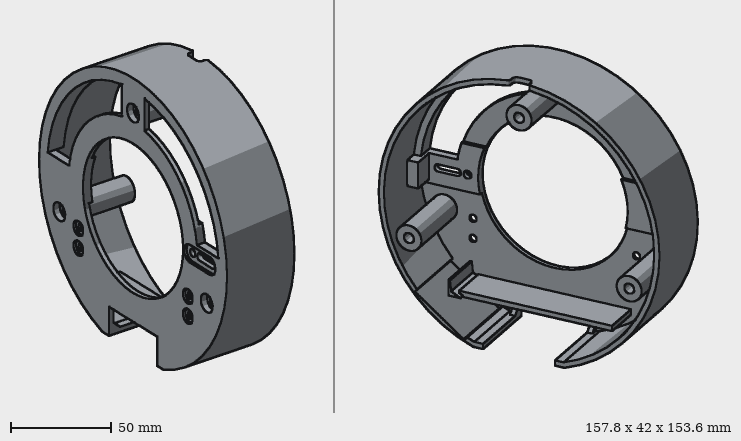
import cadquery as cq

outer_radius = 78.9
depth = 42.0
bottom_z = -74.7
wall = 3.0
plate = 3.0
thick_plate = 5.0
thick_band_top_z = 17.0
thick_band_bottom_z = -9.5
bore_diameter = 84.0

inner_radius = outer_radius - wall
inner_floor_z = bottom_z + wall

window_outer_radius = 72.0
window_inner_radius = 54.1
window_bottom_z = 7.3
window_spoke_width = 19.0
ledge_depth = 10.0

boss_diameter = 14.0
boss_hole = 5.5
boss_counterbore = 10.0
boss_counterbore_depth = 4.0
side_boss_x = 61.9
side_boss_z = -22.1
top_boss_z = 59.2
boss_points = [(0, top_boss_z), (side_boss_x, side_boss_z), (-side_boss_x, side_boss_z)]

screw_hole = 4.0
screw_counterbore = 8.0
screw_counterbore_depth = 1.5
screw_x = 46.0
screw_rows_z = (-24.8, -36.0)
screw_points = [(x, z) for x in (-screw_x, screw_x) for z in screw_rows_z]

recess_start_x = 43.0
recess_end_x = 69.1
recess_width = 10.0
recess_depth = 1.5
pin_hole = 4.3
pin_hole_x = 48.0
slot_start_x = 51.8
slot_end_x = 66.5
slot_width = 4.0

block_inner_x = 69.5
block_depth = 17.0

opening_width = 40.4
opening_top_z = -58.2
shelf_half_width = 43.0
shelf_depth = 23.8

gusset_leg = 4.0
gusset_thickness = 3.0

bracket_depth = 26.8
bracket_foot = (40.7, -57.6)
bracket_knee = (46.0, -55.0)
bracket_tip = (46.5, -49.0)
bracket_tip_width = 1.0

seat_angle = 53.3
seat_distance = 76.0
seat_upper_width = 16.3
seat_lower_width = 18.3

notch_width = 10.7
notch_depth = 5.0
notch_bottom_fillet = 2.4
notch_mouth_fillet = 1.3


def box(x0, x1, y0, y1, z0, z1):
    """Block between two opposite corners."""
    return cq.Workplane("XY").box(x1 - x0, y1 - y0, z1 - z0, centered=False).translate((x0, y0, z0))


def rod(diameter, y0, y1, x=0, z=0):
    """Cylinder along Y."""
    base = cq.Workplane("XZ", origin=(x, y0, z))
    return base.circle(diameter / 2).extrude(y0 - y1)


def obround(x0, x1, width, y0, y1):
    """Round-ended bar along X at Z = 0, running from y0 to y1."""
    base = cq.Workplane("XZ", origin=((x0 + x1) / 2, y0, 0))
    return base.slot2D(x1 - x0, width).extrude(y0 - y1)


def above(z, y0, y1):
    """Block covering the whole part above height z."""
    return box(-outer_radius, outer_radius, y0, y1, z, outer_radius)


hollow = rod(2 * inner_radius, plate, depth).intersect(above(inner_floor_z, plate, depth))
seat = box(0, seat_distance, plate, depth, -seat_lower_width, seat_upper_width)
seat = seat.rotate((0, 0, 0), (0, 1, 0), seat_angle).intersect(above(inner_floor_z, plate, depth))
hollow = hollow.union(seat)

thick_band = box(
    -outer_radius, outer_radius, 0, thick_plate, thick_band_bottom_z, thick_band_top_z
)
hollow = hollow.cut(thick_band)
ledge = above(window_bottom_z, 0, ledge_depth).cut(rod(2 * window_outer_radius, 0, ledge_depth))
hollow = hollow.cut(ledge)
hollow = hollow.cut(box(block_inner_x, outer_radius, 0, block_depth, -window_bottom_z, window_bottom_z))
hollow = hollow.cut(
    box(-shelf_half_width, shelf_half_width, 0, shelf_depth, opening_top_z, opening_top_z + wall)
)
bracket_outer_x = bracket_tip[0] + bracket_tip_width
bracket = (
    cq.Workplane("XZ")
    .polyline([
        bracket_foot,
        bracket_knee,
        bracket_tip,
        (bracket_outer_x, bracket_tip[1]),
        (bracket_outer_x, bracket_foot[1]),
    ])
    .close()
    .extrude(-bracket_depth)
)
hollow = hollow.cut(bracket)
for start_x in (-opening_width / 2 - gusset_thickness, opening_width / 2):
    gusset = (
        cq.Workplane("YZ", origin=(start_x, plate, inner_floor_z))
        .polyline([(0, 0), (gusset_leg, 0), (0, gusset_leg)])
        .close()
        .extrude(gusset_thickness)
    )
    hollow = hollow.cut(gusset)
for x, z in boss_points:
    hollow = hollow.cut(rod(boss_diameter, 0, depth, x, z))

drum = rod(2 * outer_radius, 0, depth).intersect(above(bottom_z, 0, depth))
body = drum.cut(hollow)

windows = rod(2 * window_outer_radius, 0, thick_plate)
windows = windows.cut(rod(2 * window_inner_radius, 0, thick_plate))
windows = windows.intersect(above(window_bottom_z, 0, depth))
windows = windows.cut(
    box(-window_spoke_width / 2, window_spoke_width / 2, 0, depth, 0, outer_radius)
)
opening = box(-opening_width / 2, opening_width / 2, 0, depth, bottom_z, opening_top_z)
body = body.cut(windows).cut(rod(bore_diameter, 0, thick_plate)).cut(opening)

for x, z in boss_points:
    body = body.cut(rod(boss_hole, 0, depth, x, z))
    body = body.cut(rod(boss_counterbore, 0, boss_counterbore_depth, x, z))

for x, z in screw_points:
    body = body.cut(rod(screw_hole, 0, thick_plate, x, z))
    body = body.cut(rod(screw_counterbore, 0, screw_counterbore_depth, x, z))

body = body.cut(obround(recess_start_x, recess_end_x, recess_width, 0, recess_depth))
body = body.cut(obround(slot_start_x, slot_end_x, slot_width, 0, thick_plate))
body = body.cut(rod(pin_hole, 0, thick_plate, pin_hole_x))

half = notch_width / 2
notch_start_z = top_boss_z + boss_diameter / 2
notch_y = depth - notch_depth
bottom_half = half - notch_bottom_fillet
mouth_half = half + notch_mouth_fillet
notch = (
    cq.Workplane("XY", origin=(0, 0, notch_start_z))
    .moveTo(-bottom_half, notch_y)
    .lineTo(bottom_half, notch_y)
    .radiusArc((half, notch_y + notch_bottom_fillet), -notch_bottom_fillet)
    .lineTo(half, depth - notch_mouth_fillet)
    .radiusArc((mouth_half, depth), notch_mouth_fillet)
    .lineTo(-mouth_half, depth)
    .radiusArc((-half, depth - notch_mouth_fillet), notch_mouth_fillet)
    .lineTo(-half, notch_y + notch_bottom_fillet)
    .radiusArc((-bottom_half, notch_y), -notch_bottom_fillet)
    .close()
    .extrude(outer_radius)
)
result = body.cut(notch)